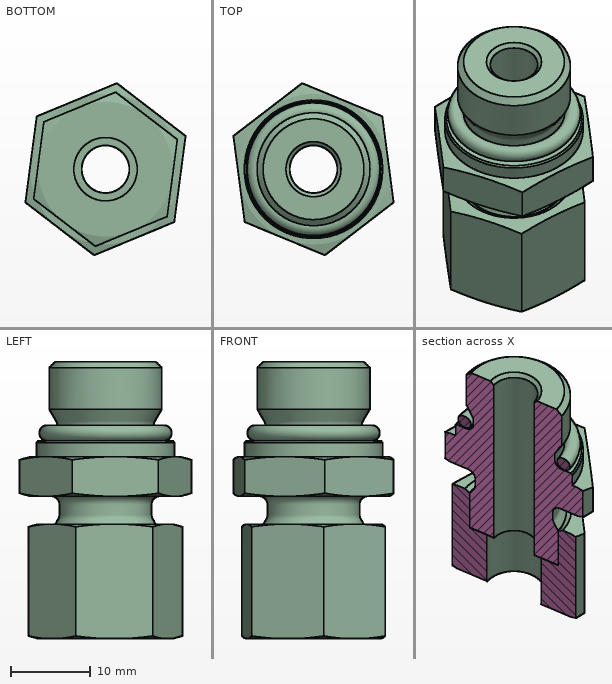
import cadquery as cq
import math

HEX_SIDES = 6
HEX_TURN = 7.5
HEX_CHAMFER_ANGLE = 15.0
BODY_HEX_FLATS = 19.0
NUT_HEX_FLATS = 17.0

NUT_TOP = 14.5
HEX_BOTTOM = 18.0
HEX_TOP = 23.0
FLANGE_TOP = 25.0
STUD_BOTTOM = 29.0
BODY_TOP = 35.0
SPIGOT_BOTTOM = 8.0

BORE_R = 6.0 / 2
BORE_CHAMFER = 0.5
STUD_R = 14.28 / 2
STUD_CHAMFER = 0.77
GROOVE_R = 12.25 / 2
FLANGE_R = 17.5 / 2
FLANGE_CHAMFER = 0.2
NECK_R = 11.7 / 2
NECK_ABOVE_NUT = 1.15
SPIGOT_R = 6.6
RUNOUT_ANGLE = math.radians(30)
TURNED_BLEND = 1.0
HALF_QUARTER = math.radians(45)

NUT_MOUTH_R = 7.28
NUT_MOUTH_ANGLE = math.radians(60)
TUBE_HOLE_R = 8.0 / 2

RING_SECTION_R = 2.0 / 2
RING_CENTRE_R = 7.4


def chamfered_hexagon(flats, bottom, top):
    """Hexagonal prism whose corners are trimmed by a shallow cone at each end."""
    corner_r = flats / 2 / math.cos(math.pi / HEX_SIDES)
    face_r = flats / 2
    drop = (corner_r - face_r) * math.tan(math.radians(HEX_CHAMFER_ANGLE))
    prism = (
        cq.Workplane("XY")
        .workplane(offset=bottom)
        .polygon(HEX_SIDES, 2 * corner_r)
        .extrude(top - bottom)
        .rotate((0, 0, 0), (0, 0, 1), 90 + HEX_TURN)
    )
    trim = (
        cq.Workplane("XZ")
        .moveTo(0, bottom)
        .lineTo(face_r, bottom)
        .lineTo(corner_r, bottom + drop)
        .lineTo(corner_r, top - drop)
        .lineTo(face_r, top)
        .lineTo(0, top)
        .close()
        .revolve(360, (0, 0, 0), (0, 1, 0))
    )
    return prism.intersect(trim)


def blend_point(cylinder_r, tangent_z, radius, angle, direction):
    """Point on an arc that leaves a cylinder at tangent_z and has turned outward by angle.

    direction is +1 when the arc runs upward and -1 when it runs downward.
    """
    r = cylinder_r + radius * (1 - math.cos(angle))
    z = tangent_z + direction * radius * math.sin(angle)
    return r, z


def upper_turned_section():
    """Flange, seal groove and threaded stud, solid up to the axis."""
    rise_to_cone = (
        STUD_R - GROOVE_R - TURNED_BLEND * (1 - math.cos(RUNOUT_ANGLE))
    ) / math.tan(RUNOUT_ANGLE)
    groove_end = STUD_BOTTOM - rise_to_cone - TURNED_BLEND * math.sin(RUNOUT_ANGLE)
    root_top = FLANGE_TOP + TURNED_BLEND
    root_mid = blend_point(GROOVE_R, root_top, TURNED_BLEND, HALF_QUARTER, -1)
    blend_mid = blend_point(GROOVE_R, groove_end, TURNED_BLEND, RUNOUT_ANGLE / 2, 1)
    blend_end = blend_point(GROOVE_R, groove_end, TURNED_BLEND, RUNOUT_ANGLE, 1)
    return (
        cq.Workplane("XZ")
        .moveTo(0, HEX_TOP)
        .lineTo(FLANGE_R, HEX_TOP)
        .lineTo(FLANGE_R, FLANGE_TOP - FLANGE_CHAMFER)
        .lineTo(FLANGE_R - FLANGE_CHAMFER, FLANGE_TOP)
        .lineTo(GROOVE_R + TURNED_BLEND, FLANGE_TOP)
        .threePointArc(root_mid, (GROOVE_R, root_top))
        .lineTo(GROOVE_R, groove_end)
        .threePointArc(blend_mid, blend_end)
        .lineTo(STUD_R, STUD_BOTTOM)
        .lineTo(STUD_R, BODY_TOP - STUD_CHAMFER)
        .lineTo(STUD_R - STUD_CHAMFER, BODY_TOP)
        .lineTo(0, BODY_TOP)
        .close()
        .revolve(360, (0, 0, 0), (0, 1, 0))
    )


def lower_turned_section():
    """Neck below the hexagon and the spigot inside the nut, solid up to the axis."""
    neck_top = HEX_BOTTOM - TURNED_BLEND
    neck_bottom = NUT_TOP + NECK_ABOVE_NUT
    root_mid = blend_point(NECK_R, neck_top, TURNED_BLEND, HALF_QUARTER, 1)
    root_end = (NECK_R + TURNED_BLEND, HEX_BOTTOM)
    cone_mid = blend_point(NECK_R, neck_bottom, TURNED_BLEND, RUNOUT_ANGLE / 2, -1)
    cone_start = blend_point(NECK_R, neck_bottom, TURNED_BLEND, RUNOUT_ANGLE, -1)
    spigot_top = cone_start[1] - (SPIGOT_R - cone_start[0]) / math.tan(RUNOUT_ANGLE)
    return (
        cq.Workplane("XZ")
        .moveTo(0, SPIGOT_BOTTOM)
        .lineTo(SPIGOT_R, SPIGOT_BOTTOM)
        .lineTo(SPIGOT_R, spigot_top)
        .lineTo(*cone_start)
        .threePointArc(cone_mid, (NECK_R, neck_bottom))
        .lineTo(NECK_R, neck_top)
        .threePointArc(root_mid, root_end)
        .lineTo(0, HEX_BOTTOM)
        .close()
        .revolve(360, (0, 0, 0), (0, 1, 0))
    )


def make_fitting_body():
    """Straight fitting: stud, flange, hexagon, neck and spigot with a through bore."""
    hexagon = chamfered_hexagon(BODY_HEX_FLATS, HEX_BOTTOM, HEX_TOP)
    outside = hexagon.union(upper_turned_section()).union(lower_turned_section())
    bore = (
        cq.Workplane("XZ")
        .moveTo(0, SPIGOT_BOTTOM)
        .lineTo(BORE_R, SPIGOT_BOTTOM)
        .lineTo(BORE_R, BODY_TOP - BORE_CHAMFER)
        .lineTo(BORE_R + BORE_CHAMFER, BODY_TOP)
        .lineTo(0, BODY_TOP)
        .close()
        .revolve(360, (0, 0, 0), (0, 1, 0))
    )
    return outside.cut(bore)


def make_nut():
    """Hexagonal union nut: chamfered mouth, spigot recess and tube hole."""
    hexagon = chamfered_hexagon(NUT_HEX_FLATS, 0, NUT_TOP)
    mouth_depth = (NUT_MOUTH_R - SPIGOT_R) / math.tan(NUT_MOUTH_ANGLE)
    opening = (
        cq.Workplane("XZ")
        .lineTo(TUBE_HOLE_R, 0)
        .lineTo(TUBE_HOLE_R, SPIGOT_BOTTOM)
        .lineTo(SPIGOT_R, SPIGOT_BOTTOM)
        .lineTo(SPIGOT_R, NUT_TOP - mouth_depth)
        .lineTo(NUT_MOUTH_R, NUT_TOP)
        .lineTo(0, NUT_TOP)
        .close()
        .revolve(360, (0, 0, 0), (0, 1, 0))
    )
    return hexagon.cut(opening)


def make_o_ring():
    """O-ring lying on the flange around the seal groove."""
    return (
        cq.Workplane("XZ")
        .center(RING_CENTRE_R, FLANGE_TOP + RING_SECTION_R)
        .circle(RING_SECTION_R)
        .revolve(360, (-RING_CENTRE_R, 0, 0), (-RING_CENTRE_R, 1, 0))
    )


fitting_body = make_fitting_body()
nut = make_nut()
o_ring = make_o_ring()

result = cq.Compound.makeCompound([fitting_body.val(), nut.val(), o_ring.val()])